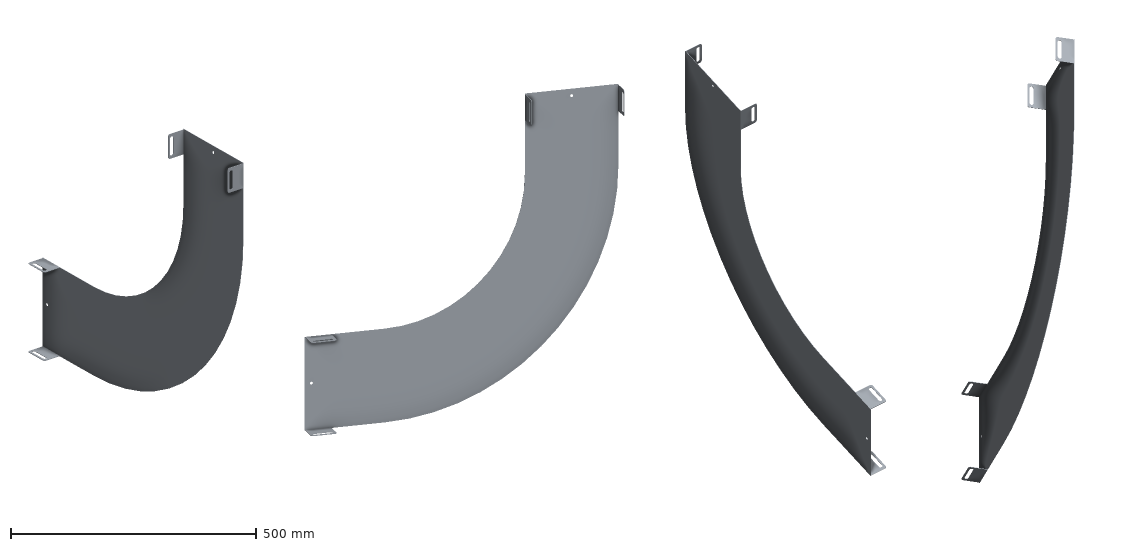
import cadquery as cq
import math

overall_size = 674.0
total_depth = 40.5
plate_width = 201.0
straight_length = 173.0
sheet_thickness = 1.0

hole_diameter = 6.3
hole_end_distance = 15.0

tab_end_gap = 1.5
tab_length = 56.0
tab_corner_radius = 5.0
slot_length = 43.0
slot_width = 8.0
slot_edge_distance = 9.0

bend_x = straight_length
bend_z = overall_size - straight_length
outer_radius = bend_z
inner_radius = outer_radius - plate_width
upright_inner_x = overall_size - plate_width


def point_on_bend(radius):
    """Middle point of a bend arc, on the plate's line of symmetry."""
    offset = radius * math.sqrt(0.5)
    return (bend_x + offset, bend_z - offset)


def make_plate():
    """Curved flat plate with its back face at y = total_depth and two holes."""
    hole_centers = [
        (hole_end_distance, plate_width / 2),
        (overall_size - plate_width / 2, overall_size - hole_end_distance),
    ]
    back_plane = cq.Workplane("XZ", origin=(0, total_depth, 0))
    plate = (
        back_plane.moveTo(0, 0)
        .lineTo(bend_x, 0)
        .threePointArc(point_on_bend(outer_radius), (overall_size, bend_z))
        .lineTo(overall_size, overall_size)
        .lineTo(upright_inner_x, overall_size)
        .lineTo(upright_inner_x, bend_z)
        .threePointArc(point_on_bend(inner_radius), (bend_x, plate_width))
        .lineTo(0, plate_width)
        .close()
        .extrude(sheet_thickness)
    )
    holes = (
        back_plane.pushPoints(hole_centers)
        .circle(hole_diameter / 2)
        .extrude(sheet_thickness)
    )
    return plate.cut(holes)


def make_tab(bottom_z):
    """Slotted tab on the lower run, from the plate's back face to y = 0."""
    tab_middle_x = tab_end_gap + tab_length / 2
    tab_plane = cq.Workplane("XY", origin=(tab_middle_x, 0, bottom_z))
    blank = (
        tab_plane.center(0, total_depth / 2)
        .rect(tab_length, total_depth)
        .extrude(sheet_thickness)
        .edges("|Z and <Y")
        .fillet(tab_corner_radius)
    )
    slot = (
        tab_plane.center(0, slot_edge_distance)
        .slot2D(slot_length, slot_width)
        .extrude(sheet_thickness)
    )
    return blank.cut(slot)


def copy_to_upright_run(tab):
    """Reflect a tab across the plate's line of symmetry, x + z = overall_size."""
    flipped = tab.mirror("YZ")
    turned = flipped.rotate((0, 0, 0), (0, 1, 0), -90)
    return turned.translate((overall_size, 0, overall_size))


result = make_plate()
for tab_bottom_z in (0, plate_width - sheet_thickness):
    lower_tab = make_tab(tab_bottom_z)
    result = result.union(lower_tab).union(copy_to_upright_run(lower_tab))